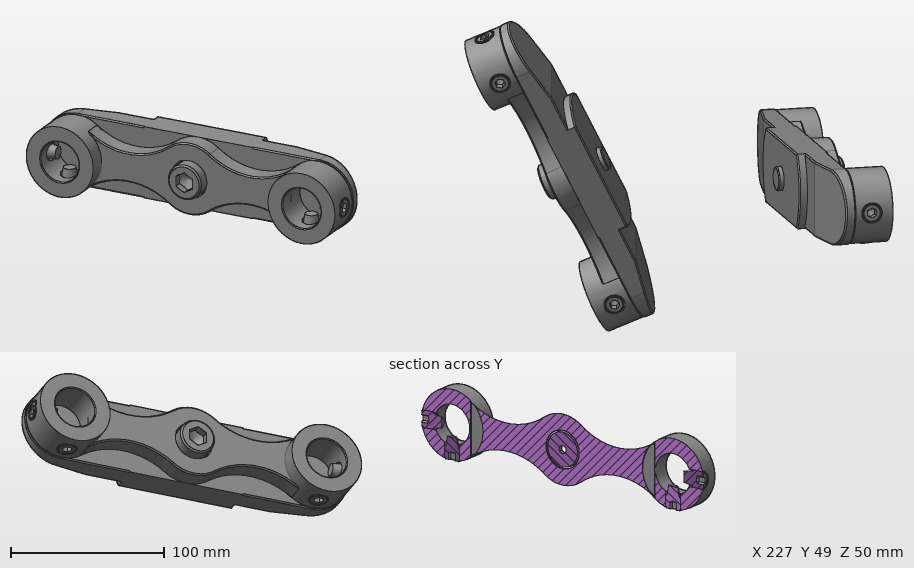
import cadquery as cq
import math

EDGE_CHAMFER = 1.0

LENGTH = 227
HEIGHT = 50
PLATE_DEPTH = 15.2
SLOPE_ANGLE = 10
SLOPE_START_X = 65.1
PAD_DIAMETER = 93.8
PAD_TOP_Y = 20.7

BOSS_SPACING = 177
BOSS_DIAMETER = 49.0
BOSS_DEPTH = 25
BORE_DIAMETER = 28.0
BORE_CHAMFER = 0.7

BRIDGE_DEPTH = 13.0
BULGE_RADIUS = HEIGHT / 2
WAIST_RADIUS = 50

SHANK_DIAMETER = 16
SHANK_END_Y = 24.0
SHANK_CHAMFER = 0.7
HEAD_DIAMETER = 24.0
HEAD_LENGTH = SHANK_DIAMETER
HEAD_FRONT_Y = -20.0
HEAD_CHAMFER = 1.1
BOLT_SOCKET_WIDTH = 12.0
BOLT_SOCKET_DEPTH = 5.0
COUNTERBORE_DIAMETER = 26.0

SCREW_DIAMETER = 12.0
SCREW_END_DIAMETER = 11.0
SCREW_END_CHAMFER = (SCREW_DIAMETER - SCREW_END_DIAMETER) / 2
SCREW_TIP_DIAMETER = 8.5
SCREW_TAPER = 6.8
SCREW_Y = -11.0
SCREW_LENGTH = 16
SCREW_TIP_RADIUS = 8.5
SCREW_SOCKET_WIDTH = 6.0
SCREW_SOCKET_DEPTH = 4.5
COUNTERSINK_DIAMETER = 13.6

SOCKET_POINT_ANGLE = 120

BOSS_CENTERS = [(side * BOSS_SPACING / 2, 0) for side in (-1, 1)]


def slab(outline, y_from, y_to):
    """Extrude an XZ outline, given by a function of a workplane, from y_from to y_to."""
    plane = cq.Workplane("XZ", origin=(0, y_to, 0))
    return outline(plane).extrude(y_to - y_from)


def cylinder(diameter, y_from, y_to, centers=((0, 0),)):
    return slab(lambda plane: plane.pushPoints(centers).circle(diameter / 2), y_from, y_to)


def make_plate():
    """Round-ended plate with sloped back ends and a raised, arc-ended pad."""
    plate = slab(lambda plane: plane.slot2D(LENGTH, HEIGHT), 0, PLATE_DEPTH)
    end_x = LENGTH / 2
    end_y = PLATE_DEPTH - (end_x - SLOPE_START_X) * math.tan(math.radians(SLOPE_ANGLE))
    profile = (
        cq.Workplane("XY")
        .polyline([
            (-end_x, 0), (end_x, 0), (end_x, end_y), (SLOPE_START_X, PLATE_DEPTH),
            (-SLOPE_START_X, PLATE_DEPTH), (-end_x, end_y),
        ])
        .close()
        .extrude(HEIGHT / 2, both=True)
    )
    pad = cylinder(PAD_DIAMETER, 0, PAD_TOP_Y)
    pad = pad.intersect(cq.Workplane("XY").box(LENGTH, 2 * PAD_TOP_Y, HEIGHT))
    pad = pad.faces(">Y").chamfer(EDGE_CHAMFER)
    plate = plate.intersect(profile)
    plate = plate.faces("<Y").edges("|X").chamfer(EDGE_CHAMFER)
    back_edges = cq.selectors.BoxSelector(
        (-LENGTH, end_y - EDGE_CHAMFER, -HEIGHT), (LENGTH, 2 * PLATE_DEPTH, HEIGHT)
    )
    back_rim = plate.edges(back_edges).edges("not |Y").edges("not |Z")
    return back_rim.chamfer(EDGE_CHAMFER).union(pad)


def waist_center():
    """Centre of the waist arc that is tangent to the central bulge and to the +X boss."""
    spacing = BOSS_SPACING / 2
    to_bulge = WAIST_RADIUS + BULGE_RADIUS
    to_boss = WAIST_RADIUS + BOSS_DIAMETER / 2
    x = (spacing**2 + to_bulge**2 - to_boss**2) / (2 * spacing)
    return x, math.sqrt(to_bulge**2 - x**2)


def bridge_outline(plane):
    x, z = waist_center()
    bulge_share = BULGE_RADIUS / (BULGE_RADIUS + WAIST_RADIUS)
    inner_x = x * bulge_share
    inner_z = z * bulge_share
    boss_share = WAIST_RADIUS / (WAIST_RADIUS + BOSS_DIAMETER / 2)
    outer_x = x + (BOSS_SPACING / 2 - x) * boss_share
    outer_z = z * (1 - boss_share)
    low_z = z - WAIST_RADIUS
    return (
        plane.moveTo(-outer_x, outer_z)
        .threePointArc((-x, low_z), (-inner_x, inner_z))
        .threePointArc((0, BULGE_RADIUS), (inner_x, inner_z))
        .threePointArc((x, low_z), (outer_x, outer_z))
        .lineTo(outer_x, -outer_z)
        .threePointArc((x, -low_z), (inner_x, -inner_z))
        .threePointArc((0, -BULGE_RADIUS), (-inner_x, -inner_z))
        .threePointArc((-x, -low_z), (-outer_x, -outer_z))
        .close()
    )


def hex_socket(width, depth):
    """Hexagonal socket cutter going up from Z = 0, with a conical bottom and corners on the Y axis."""
    corner_radius = width / math.sqrt(3)
    point = corner_radius / math.tan(math.radians(SOCKET_POINT_ANGLE / 2))
    drill = (
        cq.Workplane("XZ")
        .polyline([(0, 0), (corner_radius, 0), (corner_radius, depth), (0, depth + point)])
        .close()
        .revolve(360, (0, 0), (0, 1))
    )
    prism = (
        cq.Workplane("XY")
        .polygon(6, 2 * corner_radius)
        .extrude(depth + point)
        .rotate((0, 0, 0), (0, 0, 1), 90)
    )
    return prism.intersect(drill)


def place_radially(shape):
    """Four copies of a +X shape built about a boss: outward and downward on each boss."""
    copies = []
    for x, z in BOSS_CENTERS:
        outward = 0 if x > 0 else 180
        for angle in (outward, 90):
            turned = shape.rotate((0, 0, 0), (0, 1, 0), angle)
            copies.append(turned.translate((x, SCREW_Y, z)))
    return copies


def make_screw_hole():
    """Threaded hole from the boss axis out, with a countersunk mouth."""
    mouth = BOSS_DIAMETER / 2
    radius = SCREW_DIAMETER / 2
    flare = COUNTERSINK_DIAMETER / 2
    return (
        cq.Workplane("XY")
        .polyline([
            (0, 0), (0, radius), (mouth - 2 * (flare - radius), radius),
            (mouth - (flare - radius), flare), (mouth, flare), (mouth, 0),
        ])
        .close()
        .revolve(360, (0, 0), (1, 0))
    )


def make_set_screw():
    """Set screw along +X with a tapered tip, measured from the boss axis."""
    tip = SCREW_TIP_RADIUS
    end = tip + SCREW_LENGTH
    screw = (
        cq.Workplane("XY")
        .polyline([
            (tip, 0), (tip, SCREW_TIP_DIAMETER / 2), (tip + SCREW_TAPER, SCREW_END_DIAMETER / 2),
            (tip + SCREW_TAPER, SCREW_DIAMETER / 2), (end - SCREW_END_CHAMFER, SCREW_DIAMETER / 2),
            (end, SCREW_END_DIAMETER / 2), (end, 0),
        ])
        .close()
        .revolve(360, (0, 0), (1, 0))
    )
    socket = hex_socket(SCREW_SOCKET_WIDTH, SCREW_SOCKET_DEPTH).rotate((0, 0, 0), (1, 0, 0), 90)
    socket = socket.rotate((0, 0, 0), (0, 0, 1), -90).translate((end, 0, 0))
    return screw.cut(socket)


def make_housing():
    bridge = slab(bridge_outline, -BRIDGE_DEPTH, 0).faces("<Y").chamfer(EDGE_CHAMFER)
    bosses = cylinder(BOSS_DIAMETER, -BOSS_DEPTH, 0, BOSS_CENTERS)
    bores = cylinder(BORE_DIAMETER, -BOSS_DEPTH, 0, BOSS_CENTERS)
    housing = make_plate().union(bridge).union(bosses).cut(bores)
    bore_mouths = housing.faces("<Y").edges(cq.selectors.RadiusNthSelector(0))
    housing = bore_mouths.chamfer(BORE_CHAMFER)
    housing = housing.cut(cylinder(SHANK_DIAMETER, -BRIDGE_DEPTH, PAD_TOP_Y))
    housing = housing.cut(cylinder(COUNTERBORE_DIAMETER, -BRIDGE_DEPTH, HEAD_FRONT_Y + HEAD_LENGTH))
    for hole in place_radially(make_screw_hole()):
        housing = housing.cut(hole)
    return housing


def make_bolt():
    head = cylinder(HEAD_DIAMETER, HEAD_FRONT_Y, HEAD_FRONT_Y + HEAD_LENGTH)
    head = head.faces("<Y").chamfer(HEAD_CHAMFER)
    shank = cylinder(SHANK_DIAMETER, HEAD_FRONT_Y + HEAD_LENGTH, SHANK_END_Y)
    shank = shank.faces(">Y").chamfer(SHANK_CHAMFER)
    socket = hex_socket(BOLT_SOCKET_WIDTH, BOLT_SOCKET_DEPTH).rotate((0, 0, 0), (1, 0, 0), -90)
    return head.union(shank).cut(socket.translate((0, HEAD_FRONT_Y, 0)))


housing = make_housing()
bolt = make_bolt()
set_screws = [screw.val() for screw in place_radially(make_set_screw())]

result = cq.Compound.makeCompound([housing.val(), bolt.val(), *set_screws])